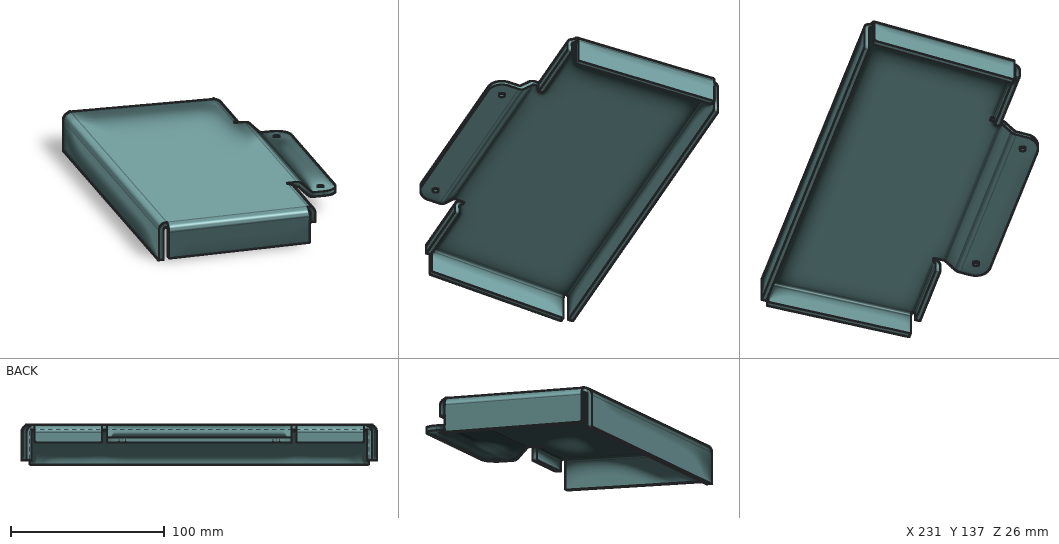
import cadquery as cq
import math

sheet = 3.2
inner_radius = 2.0
outer_radius = inner_radius + sheet

width = 231.0
depth = 137.0
height = 26.0

taper_inset = 3.2
front_line = outer_radius
rear_line = 101.6
taper = math.atan(taper_inset / (rear_line - front_line))
front_half = width / 2 - outer_radius / math.cos(taper)
rear_half = front_half - taper_inset

side_height = 23.3
rear_height = 11.5
flange_corner_radius = 1.0

tab_width = 120.1
tab_step = 8.3
tab_bend_line = 108.0
tab_corner_radius = 10.0
bend_angle = math.radians(45)
hole_diameter = 4.0
hole_spacing = 100.0
hole_y = depth - tab_corner_radius

slot_width = 3.0
slot_radius = slot_width / 2
corner_relief_radius = 2.3

UP = cq.Vector(0, 0, 1)


def bend_plane(middle, outward):
    """Plane across a bend: local x points outward, local y up, origin on the bend line."""
    direction = cq.Vector(*outward, 0)
    return cq.Plane(origin=(*middle, height), xDir=direction, normal=direction.cross(UP))


def bend(middle, outward, length):
    """Quarter-round strip of sheet centred on a point of a bend line."""
    diagonal = math.sqrt(0.5)
    return (
        cq.Workplane(bend_plane(middle, outward))
        .moveTo(0, 0)
        .threePointArc(
            (outer_radius * diagonal, outer_radius * (diagonal - 1)),
            (outer_radius, -outer_radius),
        )
        .lineTo(inner_radius, -outer_radius)
        .threePointArc(
            (inner_radius * diagonal, inner_radius * diagonal - outer_radius),
            (0, -sheet),
        )
        .close()
        .extrude(length / 2, both=True)
    )


def flange(middle, outward, length, drop):
    """Bend with a vertical wall reaching down by the given drop below the top face."""
    wall = (
        cq.Workplane(bend_plane(middle, outward))
        .moveTo(inner_radius, -outer_radius)
        .lineTo(outer_radius, -outer_radius)
        .lineTo(outer_radius, -drop)
        .lineTo(inner_radius, -drop)
        .close()
        .extrude(length / 2, both=True)
    )
    return wall.union(bend(middle, outward, length))


def round_free_corners(body):
    """Round the two lower corners of a flange, whose edges run through the sheet."""
    return body.faces("<Z").edges(cq.selectors.LengthNthSelector(0)).fillet(flange_corner_radius)


def relief_web(corner, x_sign, y_sign, radius):
    """Full-height prism filling an inside corner up to a concave quarter circle."""
    x, y = corner
    mid_offset = radius * (1 - math.sqrt(0.5))
    return (
        cq.Workplane("XY")
        .moveTo(x, y)
        .lineTo(x + x_sign * radius, y)
        .threePointArc((x + x_sign * mid_offset, y + y_sign * mid_offset), (x, y + y_sign * radius))
        .close()
        .extrude(height)
    )


def top_plate():
    """Tapered flat plate, narrower at the rear."""
    return (
        cq.Workplane("XY", origin=(0, 0, height))
        .polyline(
            [
                (-front_half, front_line),
                (front_half, front_line),
                (rear_half, rear_line),
                (-rear_half, rear_line),
            ]
        )
        .close()
        .extrude(-sheet)
    )


def mounting_tab():
    """Offset tab with rounded rear corners and two screw holes."""
    sine = math.sin(bend_angle)
    versine = 1 - math.cos(bend_angle)
    half_sine = math.sin(bend_angle / 2)
    half_versine = 1 - math.cos(bend_angle / 2)
    slope_run = (tab_step - (outer_radius + inner_radius) * versine) / math.tan(bend_angle)
    lower_line = tab_bend_line + slope_run + (outer_radius + inner_radius) * sine
    lower_top = height - tab_step
    lower_bottom = lower_top - sheet
    upper_bottom = height - sheet

    profile = (
        cq.Workplane("YZ")
        .moveTo(rear_line, height)
        .lineTo(tab_bend_line, height)
        .threePointArc(
            (tab_bend_line + outer_radius * half_sine, height - outer_radius * half_versine),
            (tab_bend_line + outer_radius * sine, height - outer_radius * versine),
        )
        .lineTo(lower_line - inner_radius * sine, lower_top + inner_radius * versine)
        .threePointArc(
            (lower_line - inner_radius * half_sine, lower_top + inner_radius * half_versine),
            (lower_line, lower_top),
        )
        .lineTo(depth, lower_top)
        .lineTo(depth, lower_bottom)
        .lineTo(lower_line, lower_bottom)
        .threePointArc(
            (lower_line - outer_radius * half_sine, lower_bottom + outer_radius * half_versine),
            (lower_line - outer_radius * sine, lower_bottom + outer_radius * versine),
        )
        .lineTo(tab_bend_line + inner_radius * sine, upper_bottom - inner_radius * versine)
        .threePointArc(
            (tab_bend_line + inner_radius * half_sine, upper_bottom - inner_radius * half_versine),
            (tab_bend_line, upper_bottom),
        )
        .lineTo(rear_line, upper_bottom)
        .close()
    )
    tab = profile.extrude(tab_width / 2, both=True)
    tab = tab.faces(">Y").edges("|Z").fillet(tab_corner_radius)
    holes = (
        cq.Workplane("XY")
        .pushPoints([(-hole_spacing / 2, hole_y), (hole_spacing / 2, hole_y)])
        .circle(hole_diameter / 2)
        .extrude(height)
    )
    return tab.cut(holes)


front_flange = flange((0, front_line), (0, -1), 2 * front_half, height)
part = top_plate().union(mounting_tab()).union(round_free_corners(front_flange))

side_run = rear_line - front_line
side_middle_x = (front_half + rear_half) / 2
side_middle_y = (front_line + rear_line) / 2
side_trim = cq.Workplane("XY").box(2 * width, side_run, 2 * height).translate((0, side_middle_y, height))
rear_inner_x = tab_width / 2 + slot_width
rear_length = rear_half - rear_inner_x
rear_middle_x = (rear_half + rear_inner_x) / 2
web_overrun = 2 * corner_relief_radius
front_web_bend = bend((0, front_line), (0, -1), 2 * (front_half + web_overrun))
rear_web_bend = bend((0, rear_line), (0, 1), 2 * (rear_half + web_overrun))

for side in (-1, 1):
    side_outward = (side * math.cos(taper), math.sin(taper))
    side_blank = flange((side * side_middle_x, side_middle_y), side_outward, depth, side_height)
    rear_flange = flange((side * rear_middle_x, rear_line), (0, 1), rear_length, rear_height)
    part = part.union(round_free_corners(side_blank.intersect(side_trim)))
    part = part.union(round_free_corners(rear_flange))

    front_web = relief_web((side * front_half, front_line), side, -1, corner_relief_radius)
    rear_web = relief_web((side * rear_half, rear_line), side, 1, corner_relief_radius)
    part = part.union(front_web.intersect(front_web_bend))
    part = part.union(rear_web.intersect(rear_web_bend))

    flange_web = relief_web((side * rear_inner_x, rear_line), -side, 1, slot_radius)
    tab_web = relief_web((side * tab_width / 2, rear_line), side, 1, slot_radius)
    part = part.union(flange_web.intersect(rear_web_bend))
    part = part.union(tab_web.intersect(rear_web_bend))

result = part.solids()